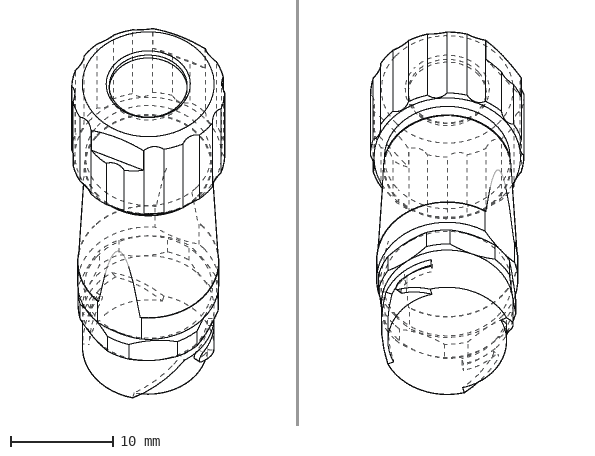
import cadquery as cq
import math

TOTAL_HEIGHT = 42.4

BASE_RADIUS = 6.45

NUT_BOTTOM = 6.28
NUT_TOP = 9.65
NUT_RADIUS = 6.85
NUT_FLAT_DISTANCE = 6.45
NUT_TOP_CHAMFER = 0.6
NUT_SIDES = 6

SLEEVE_RADIUS = 6.9
SLEEVE_CHAMFER = 0.65
SLEEVE_FLAT_DISTANCE = 6.5
TAPER_BOTTOM = 13.75
TAPER_TOP = 29.35
TAPER_BOTTOM_RADIUS = 6.85
TAPER_TOP_RADIUS = 6.25
NECK_RADIUS = 6.15

CAP_BOTTOM = 30.9
CAP_RADIUS = 7.5
CAP_TOP_FACE_RADIUS = 6.45
CAP_TOP_CHAMFER_HEIGHT = 0.85
CAP_BOTTOM_CHAMFER = 0.35
FLUTE_COUNT = 12
FLUTE_RADIUS = 2.1
FLUTE_FLOOR = 7.2
CAP_FLAT_DISTANCE = 6.95
CAP_FLAT_BOTTOM = 38.37

RECESS_RADIUS = 3.8
RECESS_CHAMFER = 0.3
RECESS_DEPTH = 0.75

SLOT_FLOOR_RADIUS = 5.8
CHANNEL_BOTTOM = 3.8
CHANNEL_TOP = 4.9
CHANNEL_END_ANGLE = -23.3
MOUTH_START_ANGLE = -22.5
MOUTH_END_ANGLE = 78.0
RAMP_TOP_ANGLE = 31.0
RAMP_TIP_ANGLE = 25.7
TIP_FILLET = 0.65

SECTOR_OVERLAP = 40.0
CUT_MARGIN = 1.27


def revolve(profile):
    """Revolve (radius, height) points about the Z axis."""
    return cq.Workplane("XZ").polyline(profile).close().revolve(360, (0, 0), (0, 1))


def make_base():
    """Plain cylinder that carries the bayonet slots."""
    return cq.Workplane("XY").circle(BASE_RADIUS).extrude(NUT_BOTTOM)


def make_nut():
    """Hexagon with its corners turned round and chamfered; two flats face +X and -X."""
    bottom_chamfer = NUT_RADIUS - BASE_RADIUS
    blank = revolve([
        (0, NUT_BOTTOM),
        (BASE_RADIUS, NUT_BOTTOM),
        (NUT_RADIUS, NUT_BOTTOM + bottom_chamfer),
        (NUT_RADIUS, NUT_TOP - NUT_TOP_CHAMFER),
        (NUT_RADIUS - NUT_TOP_CHAMFER, NUT_TOP),
        (0, NUT_TOP),
    ])
    across_corners = 2 * NUT_FLAT_DISTANCE / math.cos(math.pi / NUT_SIDES)
    hexagon = (
        cq.Workplane("XY", origin=(0, 0, NUT_BOTTOM))
        .transformed(rotate=(0, 0, 180 / NUT_SIDES))
        .polygon(NUT_SIDES, across_corners)
        .extrude(NUT_TOP - NUT_BOTTOM)
    )
    return blank.intersect(hexagon)


def make_sleeve():
    """Cylinder and taper up to the neck, with a flat on the front and on the back."""
    blank = revolve([
        (0, NUT_TOP),
        (SLEEVE_RADIUS - SLEEVE_CHAMFER, NUT_TOP),
        (SLEEVE_RADIUS, NUT_TOP + SLEEVE_CHAMFER),
        (SLEEVE_RADIUS, TAPER_BOTTOM),
        (TAPER_BOTTOM_RADIUS, TAPER_BOTTOM),
        (TAPER_TOP_RADIUS, TAPER_TOP),
        (NECK_RADIUS, TAPER_TOP),
        (NECK_RADIUS, CAP_BOTTOM),
        (0, CAP_BOTTOM),
    ])
    between_flats = (
        cq.Workplane("XY", origin=(0, 0, NUT_TOP))
        .rect(4 * SLEEVE_RADIUS, 2 * SLEEVE_FLAT_DISTANCE)
        .extrude(CAP_BOTTOM - NUT_TOP)
    )
    return blank.intersect(between_flats)


def make_cap():
    """Fluted grip with two flats near the top and a shallow recess in its top face."""
    cap = revolve([
        (0, CAP_BOTTOM),
        (CAP_RADIUS - CAP_BOTTOM_CHAMFER, CAP_BOTTOM),
        (CAP_RADIUS, CAP_BOTTOM + CAP_BOTTOM_CHAMFER),
        (CAP_RADIUS, TOTAL_HEIGHT - CAP_TOP_CHAMFER_HEIGHT),
        (CAP_TOP_FACE_RADIUS, TOTAL_HEIGHT),
        (0, TOTAL_HEIGHT),
    ])
    flutes = (
        cq.Workplane("XY", origin=(0, 0, CAP_BOTTOM))
        .polarArray(FLUTE_FLOOR + FLUTE_RADIUS, 0, 360, FLUTE_COUNT)
        .circle(FLUTE_RADIUS)
        .extrude(TOTAL_HEIGHT - CAP_BOTTOM)
    )
    cap = cap.cut(flutes)
    outer = CAP_FLAT_DISTANCE + CUT_MARGIN
    for side in (-1, 1):
        flat = (
            cq.Workplane("YZ")
            .polyline([
                (side * CAP_FLAT_DISTANCE, CAP_FLAT_BOTTOM),
                (side * outer, CAP_FLAT_BOTTOM - CUT_MARGIN),
                (side * outer, TOTAL_HEIGHT),
                (side * CAP_FLAT_DISTANCE, TOTAL_HEIGHT),
            ])
            .close()
            .extrude(CAP_RADIUS, both=True)
        )
        cap = cap.cut(flat)
    recess = revolve([
        (0, TOTAL_HEIGHT),
        (RECESS_RADIUS + RECESS_CHAMFER, TOTAL_HEIGHT),
        (RECESS_RADIUS, TOTAL_HEIGHT - RECESS_CHAMFER),
        (RECESS_RADIUS, TOTAL_HEIGHT - RECESS_DEPTH),
        (0, TOTAL_HEIGHT - RECESS_DEPTH),
    ])
    return cap.cut(recess)


def polar_point(radius, angle):
    """Point at an angle from -X, positive toward +Y."""
    return (-radius * math.cos(math.radians(angle)), radius * math.sin(math.radians(angle)))


def ring_sector(start_angle, end_angle, bottom=0):
    """Closed outline of a ring sector that spans the base wall with a margin on both sides."""
    inner_radius = SLOT_FLOOR_RADIUS - CUT_MARGIN
    outer_radius = BASE_RADIUS + CUT_MARGIN
    middle_angle = (start_angle + end_angle) / 2
    return (
        cq.Workplane("XY", origin=(0, 0, bottom))
        .moveTo(*polar_point(inner_radius, start_angle))
        .lineTo(*polar_point(outer_radius, start_angle))
        .threePointArc(polar_point(outer_radius, middle_angle), polar_point(outer_radius, end_angle))
        .lineTo(*polar_point(inner_radius, end_angle))
        .threePointArc(polar_point(inner_radius, middle_angle), polar_point(inner_radius, start_angle))
        .close()
    )


def make_slot():
    """Mouth between two helical ramps, leading up into a level channel."""
    long_ramp_twist = MOUTH_END_ANGLE - RAMP_TOP_ANGLE
    short_ramp_twist = MOUTH_START_ANGLE - RAMP_TIP_ANGLE
    below_long_ramp = ring_sector(MOUTH_START_ANGLE - SECTOR_OVERLAP, MOUTH_END_ANGLE).twistExtrude(
        CHANNEL_TOP, long_ramp_twist)
    above_short_ramp = ring_sector(MOUTH_START_ANGLE, MOUTH_END_ANGLE + SECTOR_OVERLAP).twistExtrude(
        CHANNEL_BOTTOM, short_ramp_twist)
    channel = ring_sector(CHANNEL_END_ANGLE, MOUTH_END_ANGLE, CHANNEL_BOTTOM).extrude(
        CHANNEL_TOP - CHANNEL_BOTTOM)
    wall = (
        cq.Workplane("XY")
        .circle(BASE_RADIUS + CUT_MARGIN / 2)
        .circle(SLOT_FLOOR_RADIUS)
        .extrude(CHANNEL_TOP)
    )
    slot = wall.intersect(below_long_ramp).intersect(above_short_ramp.union(channel))
    tip_radius = (SLOT_FLOOR_RADIUS + BASE_RADIUS) / 2
    tip = (*polar_point(tip_radius, RAMP_TIP_ANGLE), CHANNEL_BOTTOM)
    return slot.edges(cq.selectors.NearestToPointSelector(tip)).fillet(TIP_FILLET)


slot = make_slot()
result = make_base().union(make_nut()).union(make_sleeve()).union(make_cap())
for turn in (0, 180):
    result = result.cut(slot.rotate((0, 0, 0), (0, 0, 1), turn))